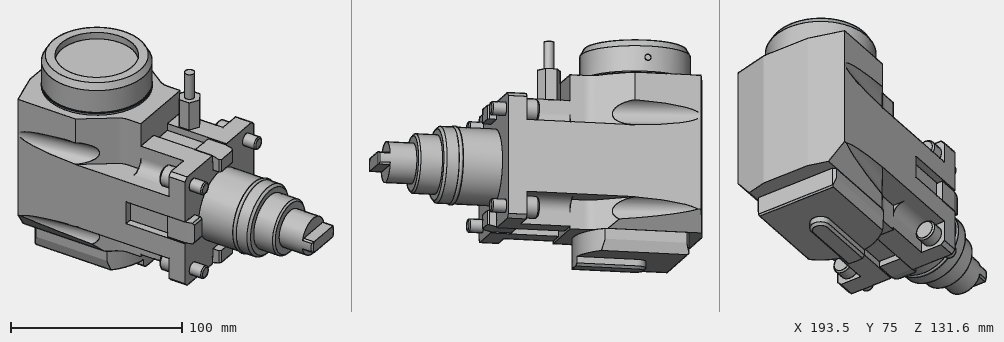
import cadquery as cq
import math


width = 75.0
half_width = width / 2
back_x = -36.5
back_half_width = 15.5
back_taper_x = 5.8
housing_end_x = 44.1
housing_top_z = 53.0
housing_bottom_z = -39.0
bevel_height = 12.0
bevel_depth = 9.7

rib_half = 21.5
neck_start_x = 9.0
neck_angle = 35.0
neck_radius = 10.0
flange_start_x = 73.7
flange_end_x = 85.0
flange_corner_chamfer = 2.3

screw_offset = 29.0
screw_head_diameter = 13.0
screw_head_length = 8.1
screw_head_chamfer = 1.0
screw_shank_diameter = 8.0
screw_tip_x = 93.7
screw_tip_chamfer = 0.8
access_radius = screw_offset - rib_half
access_angle = 9.0
access_aim_x = 71.5
access_end_x = 38.7
access_length = 116.1

key_width = 14.3
keyway_width = 15.0
keyway_depth = 4.6
key_start_x = 72.5
key_end_x = 90.2
key_height = 9.7
key_top = 37.0
key_end_drop = 1.4
key_corner_chamfer = 1.2

shank_diameter = 45.0
shank_end_x = 119.8
shank_chamfer = 1.5
seal_groove_diameter = 42.0
seal_groove_start_x = 108.4
seal_groove_width = 2.5
seal_diameter = 46.5
seal_sink = 0.2
step_diameter = 35.0
step_end_x = 133.9
step_chamfer = 1.2
drive_diameter = 24.0
drive_end_x = 149.8
tang_end_x = 157.0
tang_thickness = 7.5
tang_chamfer = 1.0
tang_side_chamfer = 1.7

nut_diameter = 64.8
nut_top_z = 74.1
nut_chamfer_height = 4.0
nut_chamfer_depth = 2.3
collar_diameter = 65.0
collar_height = 1.2
nut_lower_chamfer = 0.8
nut_bore_diameter = 48.8
nut_bore_depth = 4.5
set_screw_diameter = 3.7
set_screw_z = 63.3
set_screw_overhang = 0.4

cover_radius = 37.0
cover_back_x = -26.3
cover_half_width = 27.7
cover_bottom_z = -52.0
cover_bevel_height = 6.5
cover_bevel_depth = 1.7
cover_corner_x = 0.5
cover_edge_chamfer = 1.0
tongue_radius = 6.4
tongue_bottom_z = -57.5
tongue_chamfer = 1.5

fitting_x = 55.1
fitting_y = 14.3
hex_across_corners = 13.7
hex_top_z = 56.3
pin_diameter = 6.0
pin_top_z = 73.3

pick_margin = 2.0


def box(x0, x1, y0, y1, z0, z1):
    """Block between two opposite corners."""
    return cq.Workplane("XY").box(x1 - x0, y1 - y0, z1 - z0, centered=False).translate((x0, y0, z0))


def disc_x(diameter, x0, x1, y=0.0, z=0.0):
    """Cylinder along X."""
    return cq.Workplane("YZ", origin=(x0, y, z)).circle(diameter / 2).extrude(x1 - x0)


def disc_z(diameter, z0, z1, x=0.0, y=0.0):
    """Cylinder along Z."""
    return cq.Workplane("XY", origin=(x, y, z0)).circle(diameter / 2).extrude(z1 - z0)


def make_housing():
    height = housing_top_z - housing_bottom_z
    neck_end_x = neck_start_x + (half_width - rib_half) / math.tan(math.radians(neck_angle))
    wide_x = back_x + back_taper_x

    full_outline = [
        (back_x, -back_half_width),
        (wide_x, -half_width),
        (housing_end_x, -half_width),
        (housing_end_x, half_width),
        (wide_x, half_width),
        (back_x, back_half_width),
    ]
    base = cq.Workplane("XY", origin=(0, 0, housing_bottom_z))
    block = base.polyline(full_outline).close().extrude(height)

    necked_outline = [
        (back_x, -half_width),
        (neck_start_x, -half_width),
        (neck_end_x, -rib_half),
        (housing_end_x, -rib_half),
        (housing_end_x, rib_half),
        (neck_end_x, rib_half),
        (neck_start_x, half_width),
        (back_x, half_width),
    ]
    necked = base.polyline(necked_outline).close().extrude(height)
    inner_corners = cq.selectors.BoxSelector(
        (neck_end_x - pick_margin, -half_width, housing_bottom_z),
        (neck_end_x + pick_margin, half_width, housing_top_z),
    )
    necked = necked.edges("|Z").edges(inner_corners).fillet(neck_radius)
    waist = box(back_x, housing_end_x, -half_width, half_width, -rib_half, rib_half)
    housing = block.intersect(necked.union(waist))

    for side in (-1, 1):
        bevel = (
            cq.Workplane("YZ", origin=(back_x, 0, 0))
            .moveTo(side * half_width, housing_bottom_z)
            .lineTo(side * half_width, housing_bottom_z + bevel_height)
            .lineTo(side * (half_width - bevel_depth), housing_bottom_z)
            .close()
            .extrude(housing_end_x - back_x)
        )
        necked_side = box(back_x, housing_end_x, -half_width, half_width, housing_bottom_z, -rib_half)
        housing = housing.cut(bevel.intersect(necked_side))
    return housing


def make_arm():
    """Cross-shaped arm with filleted inner corners, ending in the square flange."""
    pick_half = rib_half + pick_margin
    upright = box(housing_end_x, flange_start_x, -rib_half, rib_half, -half_width, half_width)
    level = box(housing_end_x, flange_start_x, -half_width, half_width, -rib_half, rib_half)
    inner_corners = cq.selectors.BoxSelector(
        (housing_end_x, -pick_half, -pick_half),
        (flange_start_x, pick_half, pick_half),
    )
    cross = upright.union(level).edges("|X").edges(inner_corners).fillet(access_radius)
    flange = box(flange_start_x, flange_end_x, -half_width, half_width, -half_width, half_width)
    flange = flange.edges("|X").chamfer(flange_corner_chamfer)
    return cross.union(flange)


def make_access_bore(side_y, side_z):
    """Leaning cylinder that gives a tool access to one screw head."""
    angle = math.radians(access_angle)
    direction = cq.Vector(-math.cos(angle), side_y * math.sin(angle), 0)
    to_end = (access_aim_x - access_end_x) / math.cos(angle)
    start = cq.Vector(access_aim_x, side_y * screw_offset, side_z * screw_offset) + direction * to_end
    return cq.Workplane(obj=cq.Solid.makeCylinder(access_radius, access_length, start, direction))


def make_screw(side_y, side_z):
    y = side_y * screw_offset
    z = side_z * screw_offset
    head = disc_x(screw_head_diameter, flange_start_x - screw_head_length, flange_start_x, y, z)
    head = head.faces("<X").chamfer(screw_head_chamfer)
    shank = disc_x(screw_shank_diameter, flange_start_x, screw_tip_x, y, z)
    return head.union(shank.faces(">X").chamfer(screw_tip_chamfer))


def make_keyway():
    half = keyway_width / 2
    return box(housing_end_x, key_end_x, -half, half, half_width - keyway_depth, half_width)


def make_key():
    half = key_width / 2
    profile = [
        (key_start_x, key_top - key_height),
        (key_end_x, key_top - key_height),
        (key_end_x, key_top - key_end_drop),
        (flange_end_x, key_top),
        (key_start_x, key_top),
    ]
    key = cq.Workplane("XZ", origin=(0, half, 0)).polyline(profile).close().extrude(key_width)
    return key.faces(">X").edges("|Z").chamfer(key_corner_chamfer)


def make_drive():
    """Round drive end with a flat tang as its tip."""
    drive = disc_x(drive_diameter, step_end_x, tang_end_x).faces(">X").chamfer(tang_chamfer)
    radius = drive_diameter / 2
    half = tang_thickness / 2
    blade = box(step_end_x, tang_end_x, -radius, radius, -half, half)
    for face in (">Z", "<Z"):
        blade = blade.faces(face).edges("|X").chamfer(tang_chamfer, tang_side_chamfer)
    tip = box(drive_end_x, tang_end_x, -radius, radius, -radius, radius)
    return drive.cut(tip.cut(blade))


def make_shank():
    body = disc_x(shank_diameter, flange_end_x, shank_end_x).faces(">X").chamfer(shank_chamfer)
    groove_end_x = seal_groove_start_x + seal_groove_width
    groove = disc_x(shank_diameter, seal_groove_start_x, groove_end_x)
    groove = groove.cut(disc_x(seal_groove_diameter, seal_groove_start_x, groove_end_x))
    body = body.cut(groove)

    seal_section_radius = ((seal_diameter - seal_groove_diameter) / 2 + seal_sink) / 2
    seal = cq.Solid.makeTorus(
        seal_diameter / 2 - seal_section_radius,
        seal_section_radius,
        cq.Vector(seal_groove_start_x + seal_groove_width / 2, 0, 0),
        cq.Vector(1, 0, 0),
    )
    step = disc_x(step_diameter, shank_end_x, step_end_x).faces(">X").chamfer(step_chamfer)
    return body.union(cq.Workplane(obj=seal)).union(step).union(make_drive())


def make_nut():
    collar_top_z = housing_top_z + collar_height
    collar = disc_z(collar_diameter, housing_top_z, collar_top_z)
    nut = disc_z(nut_diameter, collar_top_z, nut_top_z)
    nut = nut.faces(">Z").edges().chamfer(nut_chamfer_height, nut_chamfer_depth)
    nut = nut.faces("<Z").edges().chamfer(nut_lower_chamfer)
    set_screw = (
        cq.Workplane("XZ", origin=(0, nut_diameter / 2 + set_screw_overhang, set_screw_z))
        .circle(set_screw_diameter / 2)
        .extrude(set_screw_diameter)
    )
    bore = disc_z(nut_bore_diameter, nut_top_z - nut_bore_depth, nut_top_z)
    return collar.union(nut).union(set_screw).cut(bore)


def make_cover():
    round_plate = disc_z(2 * cover_radius, cover_bottom_z, housing_bottom_z)
    knee_z = cover_bottom_z + cover_bevel_height
    foot_half_width = cover_half_width - cover_bevel_depth
    profile = [
        (-cover_half_width, housing_bottom_z),
        (-cover_half_width, knee_z),
        (-foot_half_width, cover_bottom_z),
        (foot_half_width, cover_bottom_z),
        (cover_half_width, knee_z),
        (cover_half_width, housing_bottom_z),
    ]
    bar = cq.Workplane("YZ", origin=(cover_back_x, 0, 0)).polyline(profile).close()
    bar = bar.extrude(housing_end_x - cover_back_x)
    plan = [
        (cover_back_x, -foot_half_width),
        (cover_back_x + cover_corner_x, -cover_half_width),
        (housing_end_x, -cover_half_width),
        (housing_end_x, cover_half_width),
        (cover_back_x + cover_corner_x, cover_half_width),
        (cover_back_x, foot_half_width),
    ]
    footprint = cq.Workplane("XY", origin=(0, 0, cover_bottom_z)).polyline(plan).close()
    footprint = footprint.extrude(housing_bottom_z - cover_bottom_z)
    bar = bar.intersect(footprint).faces("<X").edges("<Z").chamfer(cover_edge_chamfer)
    return round_plate.intersect(bar)


def make_tongue():
    """Round-nosed tongue under the cover, cut off by the cover's round end."""
    nose = disc_z(2 * tongue_radius, tongue_bottom_z, cover_bottom_z)
    bar = box(0, housing_end_x, -tongue_radius, tongue_radius, tongue_bottom_z, cover_bottom_z)
    tongue = nose.union(bar).faces("<Z").chamfer(tongue_chamfer)
    return tongue.intersect(disc_z(2 * cover_radius, tongue_bottom_z, cover_bottom_z))


def make_fitting():
    nut = (
        cq.Workplane("XY", origin=(fitting_x, fitting_y, half_width))
        .polygon(6, hex_across_corners)
        .extrude(hex_top_z - half_width)
    )
    return nut.union(disc_z(pin_diameter, hex_top_z, pin_top_z, fitting_x, fitting_y))


result = make_housing()
corners = [(side_y, side_z) for side_y in (-1, 1) for side_z in (-1, 1)]
for corner in corners:
    result = result.cut(make_access_bore(*corner))
result = result.union(make_arm())

for angle in (0, 90, 180):
    result = result.cut(make_keyway().rotate((0, 0, 0), (1, 0, 0), angle))
    result = result.union(make_key().rotate((0, 0, 0), (1, 0, 0), angle))

for corner in corners:
    result = result.union(make_screw(*corner))

for feature in (make_shank(), make_nut(), make_cover(), make_tongue(), make_fitting()):
    result = result.union(feature)